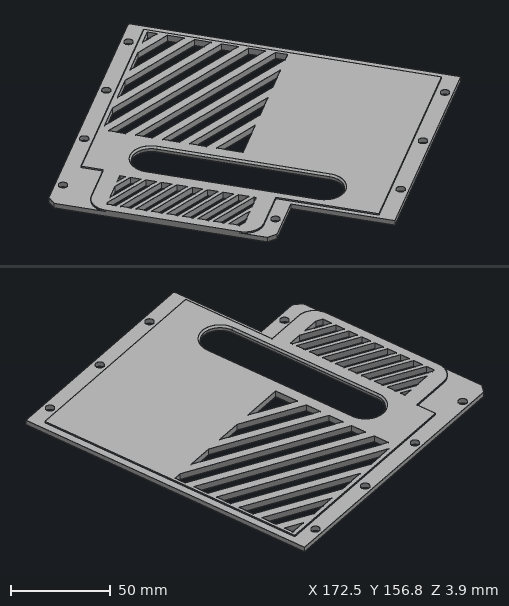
import cadquery as cq
import math

width = 172.5
depth = 156.8
plate_thickness = 3.0
tab_width = 118.5
tab_length = 30.4
tab_chamfer = 4.0

pad_height = 0.9
pad_side_margin = 9.0
pad_back_margin = 4.0
pad_front_margin = 2.5
pad_tab_left = 20.5
pad_tab_right = 110.1
pad_tab_radius = 10.0

hole_diameter = 4.7
hole_edge_distance = 4.1
hole_back_distance = 15.0
hole_pitch = 42.5
holes_per_side = 3
tab_hole_y = 16.2

slot_length = 110.0
slot_width = 20.0
slot_y = 48.0
slot_bevel = 1.0
slot_bevel_angle = 45.0

slat_angle = 60.0

large_grille_left = 11.4
large_grille_right = 84.2
large_grille_front = 65.4
large_grille_back = 151.2
large_slat_count = 8
large_slat_start = 16.5
large_slat_row = 98.2
large_slat_width = 5.3

small_grille_left = 29.9
small_grille_right = 100.6
small_grille_front = 5.2
small_grille_back = 30.0
small_slat_count = 11
small_slat_start = 32.8
small_slat_row = 80.2
small_slat_width = 2.6

total_thickness = plate_thickness + pad_height


def grille_openings(left, right, front, back, slat_count, slat_start, slat_row, slat_width):
    """Openings of a rectangular grille: the whole window less its slanted slats.

    slat_start is where the left edge of the first slat meets the back of the window;
    slat_row and slat_width are measured along X.
    """
    window_depth = back - front
    slat_pitch = slat_row / (slat_count - 1)
    lean = window_depth / math.tan(math.radians(slat_angle))
    window = (
        cq.Workplane("XY")
        .rect(right - left, window_depth)
        .extrude(total_thickness)
        .translate(((left + right) / 2, (front + back) / 2, 0))
    )
    slats = cq.Workplane("XY")
    for index in range(slat_count):
        x = slat_start + index * slat_pitch
        slats = (
            slats.moveTo(x, back)
            .lineTo(x + slat_width, back)
            .lineTo(x + slat_width - lean, front)
            .lineTo(x - lean, front)
            .close()
        )
    return window.cut(slats.extrude(total_thickness))


plate = (
    cq.Workplane("XY")
    .moveTo(tab_chamfer, 0)
    .lineTo(tab_width - tab_chamfer, 0)
    .lineTo(tab_width, tab_chamfer)
    .lineTo(tab_width, tab_length)
    .lineTo(width, tab_length)
    .lineTo(width, depth)
    .lineTo(0, depth)
    .lineTo(0, tab_chamfer)
    .close()
    .extrude(plate_thickness)
)

pad_front = tab_length + pad_front_margin
pad_back = depth - pad_back_margin
pad = (
    cq.Workplane("XY", origin=(0, 0, plate_thickness))
    .moveTo(pad_tab_left + pad_tab_radius, 0)
    .lineTo(pad_tab_right - pad_tab_radius, 0)
    .radiusArc((pad_tab_right, pad_tab_radius), -pad_tab_radius)
    .lineTo(pad_tab_right, pad_front)
    .lineTo(width - pad_side_margin, pad_front)
    .lineTo(width - pad_side_margin, pad_back)
    .lineTo(pad_side_margin, pad_back)
    .lineTo(pad_side_margin, pad_front)
    .lineTo(pad_tab_left, pad_front)
    .lineTo(pad_tab_left, pad_tab_radius)
    .radiusArc((pad_tab_left + pad_tab_radius, 0), -pad_tab_radius)
    .close()
    .extrude(pad_height)
)

hole_points = [(hole_edge_distance, tab_hole_y), (tab_width - hole_edge_distance, tab_hole_y)]
for row in range(holes_per_side):
    y = depth - hole_back_distance - row * hole_pitch
    hole_points += [(hole_edge_distance, y), (width - hole_edge_distance, y)]
holes = cq.Workplane("XY").pushPoints(hole_points).circle(hole_diameter / 2).extrude(total_thickness)

slot = (
    cq.Workplane("XY", origin=(width / 2, slot_y, 0))
    .slot2D(slot_length, slot_width)
    .extrude(total_thickness)
)
upper_bevel = (
    cq.Workplane("XY", origin=(width / 2, slot_y, total_thickness))
    .slot2D(slot_length + 2 * slot_bevel, slot_width + 2 * slot_bevel)
    .extrude(-slot_bevel, taper=slot_bevel_angle)
)
lower_bevel = upper_bevel.mirror("XY", (0, 0, total_thickness / 2))

large_grille = grille_openings(
    left=large_grille_left,
    right=large_grille_right,
    front=large_grille_front,
    back=large_grille_back,
    slat_count=large_slat_count,
    slat_start=large_slat_start,
    slat_row=large_slat_row,
    slat_width=large_slat_width,
)
small_grille = grille_openings(
    left=small_grille_left,
    right=small_grille_right,
    front=small_grille_front,
    back=small_grille_back,
    slat_count=small_slat_count,
    slat_start=small_slat_start,
    slat_row=small_slat_row,
    slat_width=small_slat_width,
)

result = plate.union(pad)
for cutter in (holes, slot, upper_bevel, lower_bevel, large_grille, small_grille):
    result = result.cut(cutter)